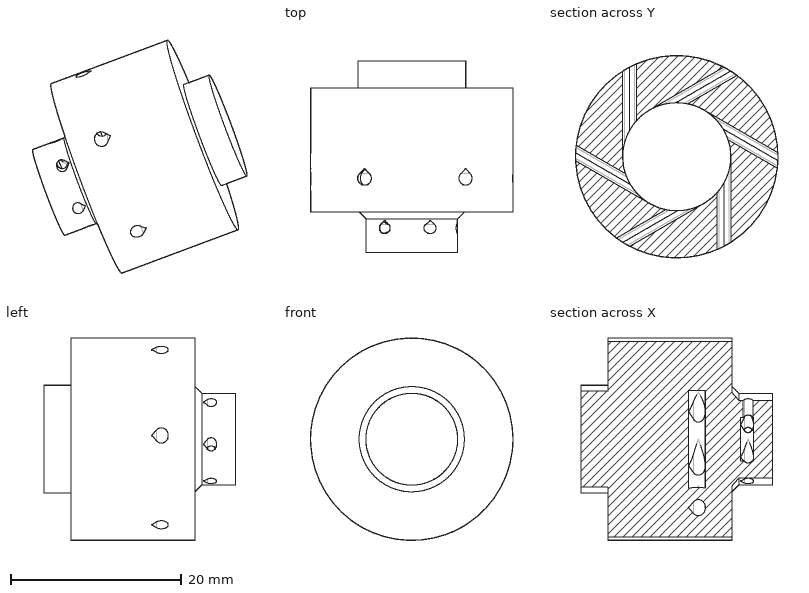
import cadquery as cq
import math

FULL_TURN = 360

BODY_DIAMETER = 23.8125
BODY_LENGTH = 14.605
NECK_DIAMETER = 10.8
NECK_LENGTH = 3.97
CONE_SIZE = 0.79
REAR_BOSS_DIAMETER = 12.7
REAR_BOSS_LENGTH = 3.175

INLET_COUNT = 6
BODY_INLET_RADIUS = 0.8
BODY_INLET_Y = 3.97
BODY_CHAMBER_RADIUS = 6.35
NECK_INLET_RADIUS = 0.63
NECK_INLET_Y = -1.88
NECK_CHAMBER_RADIUS = 3.805


def make_turned_body():
    """Revolve the stepped outer profile about the Y axis."""
    body_radius = BODY_DIAMETER / 2
    neck_radius = NECK_DIAMETER / 2
    boss_radius = REAR_BOSS_DIAMETER / 2
    neck_end = -CONE_SIZE
    front_end = neck_end - NECK_LENGTH
    rear_end = BODY_LENGTH + REAR_BOSS_LENGTH
    return (
        cq.Workplane("XY")
        .moveTo(0, front_end)
        .lineTo(neck_radius, front_end)
        .lineTo(neck_radius, neck_end)
        .lineTo(neck_radius + CONE_SIZE, 0)
        .lineTo(body_radius, 0)
        .lineTo(body_radius, BODY_LENGTH)
        .lineTo(boss_radius, BODY_LENGTH)
        .lineTo(boss_radius, rear_end)
        .lineTo(0, rear_end)
        .close()
        .revolve(FULL_TURN, (0, 0, 0), (0, 1, 0))
    )


def teardrop_tip(radius):
    """Distance from the arc centre to the tip where the two 45 degree flanks meet."""
    return radius * math.sqrt(2)


def make_inlet(radius, chamber_radius, y_position, length):
    """Teardrop bore along +Z, tangent to the chamber on its -X side with the point toward +Y."""
    offset = chamber_radius - radius
    tip = teardrop_tip(radius)
    tangent = tip / 2
    return (
        cq.Workplane("XY")
        .center(-offset, y_position)
        .moveTo(0, tip)
        .lineTo(-tangent, tangent)
        .threePointArc((0, -radius), (tangent, tangent))
        .close()
        .extrude(length)
    )


def cut_swirl_ring(part, radius, chamber_radius, y_position, outer_diameter):
    """Cut a chamber as long as the inlets are wide, and the inlets around it."""
    tip = teardrop_tip(radius)
    chamber = (
        cq.Workplane("XZ", origin=(0, y_position + tip, 0))
        .circle(chamber_radius)
        .extrude(radius + tip)
    )
    part = part.cut(chamber)
    inlet = make_inlet(radius, chamber_radius, y_position, outer_diameter / 2)
    for index in range(INLET_COUNT):
        angle = index * FULL_TURN / INLET_COUNT
        part = part.cut(inlet.rotate((0, 0, 0), (0, 1, 0), angle))
    return part


result = make_turned_body()
result = cut_swirl_ring(result, BODY_INLET_RADIUS, BODY_CHAMBER_RADIUS, BODY_INLET_Y, BODY_DIAMETER)
result = cut_swirl_ring(result, NECK_INLET_RADIUS, NECK_CHAMBER_RADIUS, NECK_INLET_Y, NECK_DIAMETER)